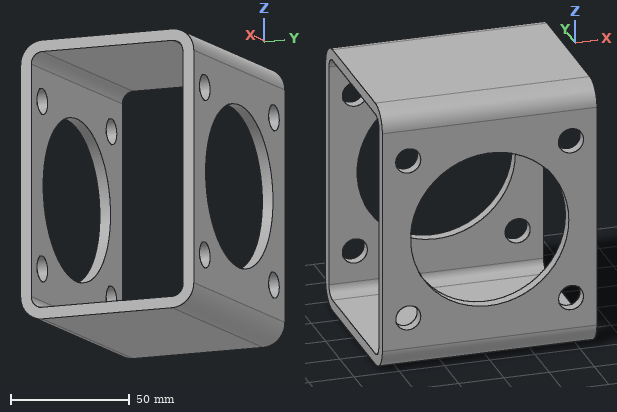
import cadquery as cq

length = 95.0
width = 80.0
height = 120.0
wall = 5.0
outer_radius = 10.0
inner_radius = outer_radius - wall

bore_diameter = 70.0
bolt_diameter = 11.0
bolt_spacing = 72.0


def rounded_bar(bar_width, bar_height, corner_radius):
    """Solid bar along X with its four long edges rounded."""
    return cq.Workplane("XY").box(length, bar_width, bar_height).edges("|X").fillet(corner_radius)


def make_tube():
    """Hollow rectangular tube, open at both ends."""
    outside = rounded_bar(width, height, outer_radius)
    inside = rounded_bar(width - 2 * wall, height - 2 * wall, inner_radius)
    return outside.cut(inside)


def make_hole_cutters():
    """Central bore and four bolt holes, long enough to pass through both side walls."""
    side_plane = cq.Workplane("XZ")
    bore = side_plane.circle(bore_diameter / 2).extrude(width, both=True)
    bolts = (
        side_plane.rect(bolt_spacing, bolt_spacing, forConstruction=True)
        .vertices()
        .circle(bolt_diameter / 2)
        .extrude(width, both=True)
    )
    return bore.union(bolts)


result = make_tube().cut(make_hole_cutters())